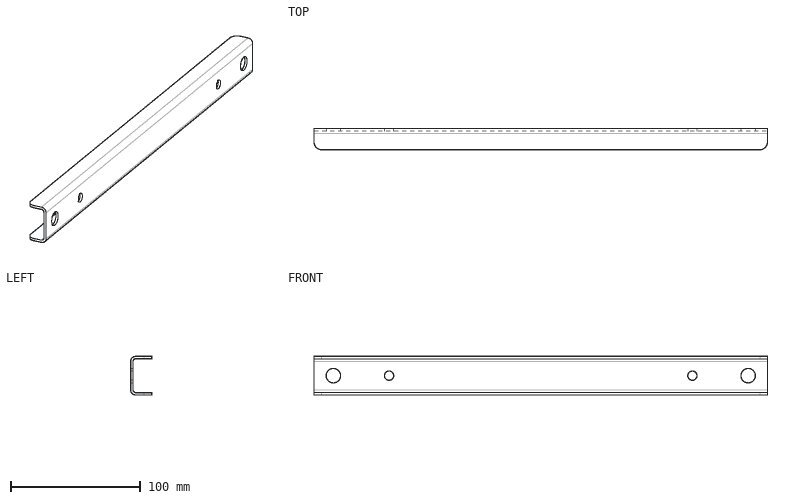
import cadquery as cq

length = 350.0
depth = 16.5
height = 30.0
thickness = 2.0
bend_outer_radius = 4.0
bend_inner_radius = bend_outer_radius - thickness

flange_corner_radius = 6.0

mounting_hole_diameter = 11.0
mounting_hole_spacing = 320.0
fixing_hole_diameter = 7.0
fixing_hole_spacing = 234.0

web_outer_y = depth / 2
flange_edge_y = -depth / 2


def channel_bar(bar_height, back_y, bend_radius):
    """Full-length bar from the flange edges to back_y, with its two back edges rounded."""
    bar_depth = back_y - flange_edge_y
    return (
        cq.Workplane("XY")
        .box(length, bar_depth, bar_height)
        .translate((0, flange_edge_y + bar_depth / 2, 0))
        .edges("|X and >Y")
        .fillet(bend_radius)
    )


def bent_channel():
    """U-shaped sheet: the outer bar minus the bar that fills its inside."""
    outside = channel_bar(height, web_outer_y, bend_outer_radius)
    inside = channel_bar(height - 2 * thickness, web_outer_y - thickness, bend_inner_radius)
    return outside.cut(inside)


def round_flange_corners(channel):
    """Round the four upright edges at the free ends of the flanges."""
    return channel.edges("|Z").edges("<Y").fillet(flange_corner_radius)


def hole_pair(diameter, spacing):
    """Two cylinders along Y that pierce the web at mid-height."""
    return (
        cq.Workplane("XZ", origin=(0, web_outer_y, 0))
        .pushPoints([(-spacing / 2, 0), (spacing / 2, 0)])
        .circle(diameter / 2)
        .extrude(thickness)
    )


result = round_flange_corners(bent_channel())
result = result.cut(hole_pair(mounting_hole_diameter, mounting_hole_spacing))
result = result.cut(hole_pair(fixing_hole_diameter, fixing_hole_spacing))